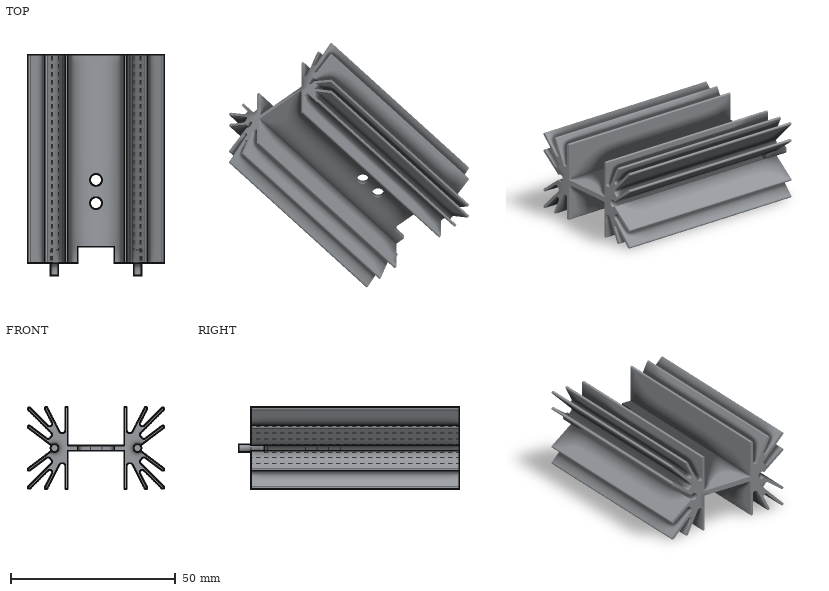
import cadquery as cq
import math

WIDTH = 41.6
HEIGHT = 25.1
TOTAL_LENGTH = 67.3
PIN_PROTRUSION = 3.8
BODY_LENGTH = TOTAL_LENGTH - PIN_PROTRUSION

FIN_THICKNESS = 0.9
FIN_HALF = FIN_THICKNESS / 2
SIDE_TIP_X = WIDTH / 2 - FIN_HALF
TOP_TIP_Z = HEIGHT / 2 - FIN_HALF
WALL_INNER_X = 8.55

FINS = [
    (SIDE_TIP_X, 6.45, 37.0),
    (SIDE_TIP_X, 12.0, 45.0),
    (15.2, TOP_TIP_Z, 63.0),
    (WALL_INNER_X + FIN_HALF, TOP_TIP_Z, 90.0),
]
ROOT_RADIUS = 0.7
ROOT_FLOORS = [
    (0.8, 41.0),
    (0.15, 90.0),
    (0.4, 90.0),
]

WEB_THICKNESS = 1.6
NOTCH_WIDTH = 11.05
NOTCH_DEPTH = 5.0
HOLE_DIAMETER = 3.6
HOLE_SPACING = 7.1
FIRST_HOLE_Y = 18.3

PIN_DIAMETER = 2.4
PIN_X = 12.65
PIN_LENGTH = 7.9


def directions(angle):
    """Unit vectors along an angle in degrees, and a quarter turn ahead of it."""
    radians = math.radians(angle)
    along = cq.Vector(math.cos(radians), math.sin(radians))
    across = cq.Vector(-math.sin(radians), math.cos(radians))
    return along, across


def tip_arc(fin):
    """Start, middle and end of the half circle around a fin tip."""
    centre = cq.Vector(fin[0], fin[1])
    along, across = directions(fin[2])
    return centre - across * FIN_HALF, centre + along * FIN_HALF, centre + across * FIN_HALF


def round_between(centre, first, last):
    """Start, middle and end of a root round that turns between two unit vectors."""
    bisector = (first + last).normalized()
    return [centre + direction * ROOT_RADIUS for direction in (first, bisector, last)]


def root_arcs(fin, next_fin, floor):
    """Start, middle and end of the two rounds between the facing sides of two fins."""
    floor_width, floor_angle = floor
    along, across = directions(fin[2])
    next_across = directions(next_fin[2])[1]
    outward, floor_direction = directions(floor_angle)
    floor_step = floor_direction * floor_width
    offset = FIN_HALF + ROOT_RADIUS
    point = cq.Vector(fin[0], fin[1]) + across * offset
    target = cq.Vector(next_fin[0], next_fin[1]) - next_across * offset - floor_step
    travel = (target - point).dot(next_across) / along.dot(next_across)
    first_centre = point + along * travel

    first_round = round_between(first_centre, -across, -outward)
    second_round = round_between(first_centre + floor_step, -outward, next_across)
    return first_round, second_round


def line_then_arc(profile, arc):
    """Continue a profile with a line to the start of an arc, then the arc."""
    start, middle, end = [(point.x, point.y) for point in arc]
    return profile.lineTo(*start).threePointArc(middle, end)


def extrude_along_y(profile, start, length):
    """Extrude an XZ profile from y = start towards +Y."""
    return profile.extrude(-length).translate((0, start, 0))


def finned_quadrant():
    """Core and fins in the +X +Z quadrant."""
    lower_edge = tip_arc(FINS[0])[0]
    lower_slope = math.tan(math.radians(FINS[0][2]))
    profile = cq.Workplane("XZ").moveTo(lower_edge.x - lower_edge.y / lower_slope, 0)
    for index, fin in enumerate(FINS):
        profile = line_then_arc(profile, tip_arc(fin))
        if index < len(ROOT_FLOORS):
            for arc in root_arcs(fin, FINS[index + 1], ROOT_FLOORS[index]):
                profile = line_then_arc(profile, arc)
    return extrude_along_y(profile.lineTo(WALL_INNER_X, 0).close(), 0, BODY_LENGTH)


def web():
    """Flat plate between the walls, with an end notch and two through holes."""
    plate = cq.Workplane("XY").box(
        2 * WALL_INNER_X, BODY_LENGTH, WEB_THICKNESS, centered=(True, False, True)
    )
    notch = cq.Workplane("XY").box(
        NOTCH_WIDTH, NOTCH_DEPTH, WEB_THICKNESS, centered=(True, False, True)
    )
    hole_centres = [(0, FIRST_HOLE_Y), (0, FIRST_HOLE_Y + HOLE_SPACING)]
    holes = (
        cq.Workplane("XY").pushPoints(hole_centres).circle(HOLE_DIAMETER / 2)
        .extrude(WEB_THICKNESS / 2, both=True)
    )
    return plate.cut(notch).cut(holes)


def rods(start, length):
    """Pair of round rods on the pin axes."""
    circles = cq.Workplane("XZ").pushPoints([(-PIN_X, 0), (PIN_X, 0)]).circle(PIN_DIAMETER / 2)
    return extrude_along_y(circles, start, length)


quadrant = finned_quadrant()
right_side = quadrant.union(quadrant.mirror("XY"))
left_side = right_side.mirror("YZ")
channels = rods(0, BODY_LENGTH)
pins = rods(-PIN_PROTRUSION, PIN_LENGTH)

result = right_side.union(left_side).union(web()).cut(channels).union(pins)